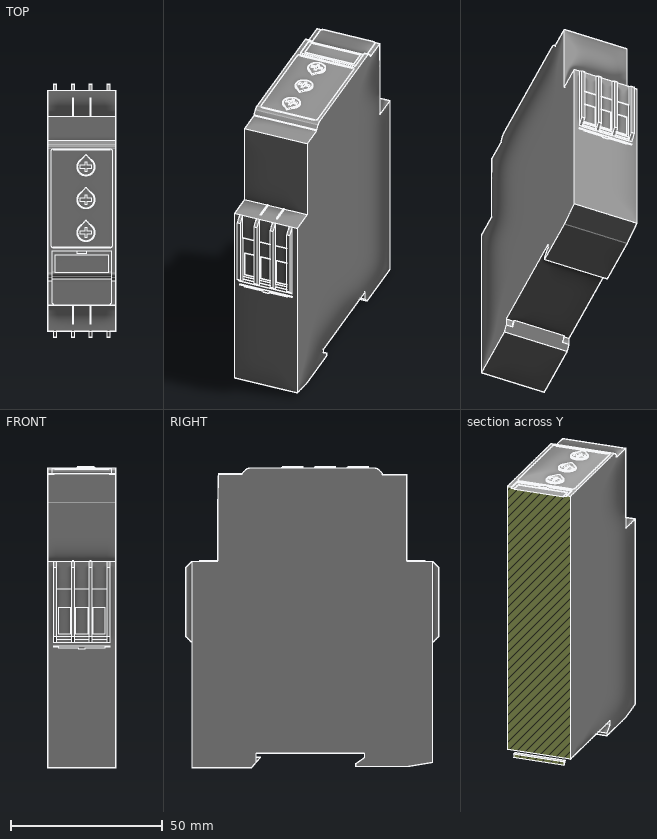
import cadquery as cq
import math

WIDTH = 22.5
DEPTH = 83.6
HEIGHT = 99.4
HALF_DEPTH = 39.8
UPPER_HALF_DEPTH = 31.2
SHOULDER_Z = 68.2
DECK_Z = 96.8

RAIL_Z = 4.8
FOOT_Z = 0.4
REAR_HOOK_DEPTH_Y = 17.2
REAR_HOOK_TIP_Y = 14.3
REAR_HOOK_TIP_Z = 1.4
REAR_HOOK_ROOT_Z = 3.4
FOOT_SLOPE_START_Y = 31.4
FOOT_CORNER_Z = 1.8
FRONT_FOOT_Y = -20.1
FRONT_WALL_Y = -18.5
TOOTH_TIP_Y = -17.0
TOOTH_TIP_Z = 3.6
TOOTH_WIDTH = 17.9
FRONT_WALL_Z = TOOTH_TIP_Z * (FRONT_WALL_Y - FRONT_FOOT_Y) / (TOOTH_TIP_Y - FRONT_FOOT_Y)

DRAFT_START_Z = 87.7
DRAFT_INSET = 0.2

KNOB_HEIGHT = 0.4
HUMP_TOP_Z = HEIGHT - KNOB_HEIGHT
HUMP_HALF_DEPTH = 23.2
HUMP_CHAMFER = 1.8
HUMP_EDGE_RADIUS = 2.0

PANEL_WIDTH = 20.3
PANEL_FRONT_Y = -12.2
PANEL_REAR_Y = 20.5
PANEL_CORNER_RADIUS = 0.9
PANEL_DEPTH = 0.15
PANEL_GROOVE_WIDTH = 0.35
PANEL_GROOVE_DEPTH = 0.3

KNOB_DIAMETER = 5.5
SKIRT_DIAMETER = 6.0
SKIRT_HEIGHT = 0.3
KNOB_X = 1.4
KNOB_MIDDLE_Y = 3.7
KNOB_PITCH = 10.8
POINTER_REACH = 4.1
CROSS_LENGTH_X = 3.8
CROSS_LENGTH_Y = 3.2
CROSS_ARM_X_HEIGHT = 1.1
CROSS_ARM_Y_WIDTH = 0.7
CROSS_DEPTH = 0.5

FLAP_WIDTH = 19.6
FLAP_REAR_Y = -13.2
FLAP_INSET = 0.35
FLAP_DECK_RISE = 0.3
FLAP_FRONT_CHAMFER = 0.6
WINDOW_WIDTH = 17.5
WINDOW_FRONT_Y = -20.4
WINDOW_REAR_Y = -14.6
WINDOW_DEPTH = 0.2
NOTCH_WIDTH = 3.3
NOTCH_LENGTH = 0.9

RIB_INNER_X = 2.9
RIB_OUTER_X = 8.8
RIB_WIDTH = 1.1
RIB_REACH = DEPTH / 2 - HALF_DEPTH
RIB_ROOT = 0.5
RIB_BOTTOM_Z = 41.4
SHELF_RIB_WIDTH = 0.4
SHELF_RIB_HEIGHT = 0.2
SHELF_RIB_LENGTH = 6.1
COVER_TOP_Z = 59.0
COVER_DEPTH = 0.2
LEDGE_TOP_Z = 43.4
LEDGE_MIDDLE_Z = 42.3
LEDGE_UPPER_DEPTH = 0.3
LEDGE_LOWER_DEPTH = 0.15
TERMINAL_WINDOW_WIDTH = 4.0
TERMINAL_WINDOW_X = 5.7
TERMINAL_WINDOW_TOP_Z = 53.0
TERMINAL_WINDOW_BOTTOM_Z = 44.2
TERMINAL_WINDOW_DEPTH = 0.2
LIP_TOP_Z = 40.2
LIP_BOTTOM_Z = 39.6
LIP_SEAM_Z = 39.9
LIP_NOTCH_Z = 39.2
LIP_DEPTH = 0.2
LIP_UPPER_WIDTH = 18.8
LIP_LOWER_WIDTH = 15.3
LIP_NOTCH_WIDTH = 2.1


def box(x_center, x_size, y_min, y_max, z_min, z_max):
    """Axis-aligned block, centred on x_center."""
    size = (x_size, y_max - y_min, z_max - z_min)
    block = cq.Workplane("XY").box(*size, centered=(True, False, False))
    return block.translate((x_center, y_min, z_min))


def side_profile(points, width):
    """Prism of a closed (Y, Z) outline, centred on X = 0."""
    return cq.Workplane("YZ").polyline(points).close().extrude(width / 2, both=True)


def make_housing():
    outline = [
        (-HALF_DEPTH, 0),
        (-HALF_DEPTH, SHOULDER_Z),
        (-UPPER_HALF_DEPTH, SHOULDER_Z),
        (-UPPER_HALF_DEPTH, DRAFT_START_Z),
        (-UPPER_HALF_DEPTH + DRAFT_INSET, DECK_Z),
        (UPPER_HALF_DEPTH, DECK_Z),
        (UPPER_HALF_DEPTH, SHOULDER_Z),
        (HALF_DEPTH, SHOULDER_Z),
        (HALF_DEPTH, FOOT_CORNER_Z),
        (FOOT_SLOPE_START_Y, FOOT_Z),
        (REAR_HOOK_TIP_Y, FOOT_Z),
        (REAR_HOOK_TIP_Y, REAR_HOOK_TIP_Z),
        (REAR_HOOK_DEPTH_Y, REAR_HOOK_ROOT_Z),
        (REAR_HOOK_DEPTH_Y, RAIL_Z),
        (FRONT_WALL_Y, RAIL_Z),
        (FRONT_WALL_Y, FRONT_WALL_Z),
        (FRONT_FOOT_Y, 0),
    ]
    return side_profile(outline, WIDTH)


def make_rail_tooth():
    """Front rail tooth, continuing the slope of the front foot."""
    outline = [
        (FRONT_FOOT_Y, 0),
        (TOOTH_TIP_Y, TOOTH_TIP_Z),
        (FRONT_FOOT_Y, TOOTH_TIP_Z),
    ]
    return side_profile(outline, TOOTH_WIDTH)


def make_hump(width, inset=0.0):
    """Raised bar with chamfered, rounded ends; inset shrinks it at the top and both ends."""
    half_depth = HUMP_HALF_DEPTH - inset
    top = HUMP_TOP_Z - inset
    flat = half_depth - HUMP_CHAMFER
    outline = [
        (-half_depth, DRAFT_START_Z),
        (-half_depth, top - HUMP_CHAMFER),
        (-flat, top),
        (flat, top),
        (half_depth, top - HUMP_CHAMFER),
        (half_depth, DRAFT_START_Z),
    ]
    return side_profile(outline, width).faces(">Z").edges("|X").fillet(HUMP_EDGE_RADIUS)


def cut_panel(body):
    """Recess the label panel and sink a narrow groove along its two short ends."""
    floor = HUMP_TOP_Z - PANEL_DEPTH
    panel = box(0, PANEL_WIDTH, PANEL_FRONT_Y, PANEL_REAR_Y, floor, HEIGHT)
    body = body.cut(panel.edges("|Z").fillet(PANEL_CORNER_RADIUS))
    groove_length = PANEL_WIDTH - 2 * PANEL_CORNER_RADIUS
    groove_floor = HUMP_TOP_Z - PANEL_GROOVE_DEPTH
    for y_min in (PANEL_FRONT_Y, PANEL_REAR_Y - PANEL_GROOVE_WIDTH):
        y_max = y_min + PANEL_GROOVE_WIDTH
        body = body.cut(box(0, groove_length, y_min, y_max, groove_floor, HEIGHT))
    return body


def make_knob():
    """Knob at the origin: low round skirt, head with a pointer toward +Y, cross slot."""
    height = KNOB_HEIGHT + PANEL_DEPTH
    radius = KNOB_DIAMETER / 2
    tangent_angle = math.asin(radius / POINTER_REACH)
    tangent_x = radius * math.cos(tangent_angle)
    tangent_y = radius * math.sin(tangent_angle)
    head = (
        cq.Workplane("XY")
        .moveTo(tangent_x, tangent_y)
        .lineTo(0, POINTER_REACH)
        .lineTo(-tangent_x, tangent_y)
        .threePointArc((0, -radius), (tangent_x, tangent_y))
        .close()
        .extrude(height)
    )
    skirt = cq.Workplane("XY").circle(SKIRT_DIAMETER / 2).extrude(SKIRT_HEIGHT)
    slot_plane = cq.Workplane("XY", origin=(0, 0, height - CROSS_DEPTH))
    arm_x = slot_plane.rect(CROSS_LENGTH_X, CROSS_ARM_X_HEIGHT).extrude(CROSS_DEPTH)
    arm_y = slot_plane.rect(CROSS_ARM_Y_WIDTH, CROSS_LENGTH_Y).extrude(CROSS_DEPTH)
    return skirt.union(head).cut(arm_x).cut(arm_y)


def add_knobs(body):
    knob = make_knob()
    for step in (-1, 0, 1):
        position = (KNOB_X, KNOB_MIDDLE_Y + step * KNOB_PITCH, HUMP_TOP_Z - PANEL_DEPTH)
        body = body.union(knob.translate(position))
    return body


def add_flap(body):
    """Sink the flap into the front of the hump and let it run out over the deck."""
    front_y = -UPPER_HALF_DEPTH + DRAFT_INSET
    flap_zone = box(0, FLAP_WIDTH, front_y, FLAP_REAR_Y, DECK_Z, HEIGHT)
    flap = make_hump(FLAP_WIDTH, FLAP_INSET).intersect(flap_zone)
    deck_plate = box(0, FLAP_WIDTH, front_y, FLAP_REAR_Y, DECK_Z, DECK_Z + FLAP_DECK_RISE)
    deck_plate = deck_plate.faces("<Y").edges("|Z").chamfer(FLAP_FRONT_CHAMFER)
    body = body.cut(flap_zone).union(flap).union(deck_plate)

    window_floor = HUMP_TOP_Z - FLAP_INSET - WINDOW_DEPTH
    window = box(0, WINDOW_WIDTH, WINDOW_FRONT_Y, WINDOW_REAR_Y, window_floor, HEIGHT)
    notch = box(0, NOTCH_WIDTH, FLAP_REAR_Y - NOTCH_LENGTH, FLAP_REAR_Y, window_floor, HEIGHT)
    return body.cut(window).cut(notch)


def make_rib(x_center):
    """Upright rib on the front face with 45 degree run-outs at both ends."""
    outline = [
        (-HALF_DEPTH + RIB_ROOT, RIB_BOTTOM_Z),
        (-HALF_DEPTH, RIB_BOTTOM_Z),
        (-HALF_DEPTH - RIB_REACH, RIB_BOTTOM_Z + RIB_REACH),
        (-HALF_DEPTH - RIB_REACH, SHOULDER_Z - RIB_REACH),
        (-HALF_DEPTH, SHOULDER_Z),
        (-HALF_DEPTH + RIB_ROOT, SHOULDER_Z),
    ]
    return side_profile(outline, RIB_WIDTH).translate((x_center, 0, 0))


def make_terminal_cuts():
    """Shallow covers, windows, stepped ledges and lip of the front terminal block."""
    face = -HALF_DEPTH
    cover_steps = [
        (COVER_DEPTH, LEDGE_TOP_Z, COVER_TOP_Z),
        (LEDGE_UPPER_DEPTH, LEDGE_MIDDLE_Z, LEDGE_TOP_Z),
        (LEDGE_LOWER_DEPTH, RIB_BOTTOM_Z, LEDGE_MIDDLE_Z),
    ]
    cuts = cq.Workplane("XY")
    for depth, z_min, z_max in cover_steps:
        cuts = cuts.union(box(0, 2 * RIB_OUTER_X, face, face + depth, z_min, z_max))
    window_floor = face + COVER_DEPTH + TERMINAL_WINDOW_DEPTH
    for x in (-TERMINAL_WINDOW_X, 0, TERMINAL_WINDOW_X):
        cuts = cuts.union(
            box(
                x, TERMINAL_WINDOW_WIDTH, face, window_floor,
                TERMINAL_WINDOW_BOTTOM_Z, TERMINAL_WINDOW_TOP_Z,
            )
        )
    lip_steps = [
        (LIP_UPPER_WIDTH, LIP_SEAM_Z, LIP_TOP_Z),
        (LIP_LOWER_WIDTH, LIP_BOTTOM_Z, LIP_SEAM_Z),
        (LIP_NOTCH_WIDTH, LIP_NOTCH_Z, LIP_BOTTOM_Z),
    ]
    for width, z_min, z_max in lip_steps:
        cuts = cuts.union(box(0, width, face, face + LIP_DEPTH, z_min, z_max))
    return cuts


def make_terminal_ribs():
    """Four upright ribs and the two thin ribs on the shelf above them."""
    ribs = cq.Workplane("XY")
    for x in (-RIB_OUTER_X, -RIB_INNER_X, RIB_INNER_X, RIB_OUTER_X):
        ribs = ribs.add(make_rib(x))
    shelf_rib_end_y = -UPPER_HALF_DEPTH - SHELF_RIB_LENGTH
    shelf_rib_top_z = SHOULDER_Z + SHELF_RIB_HEIGHT
    for x in (-RIB_INNER_X, RIB_INNER_X):
        ribs = ribs.add(
            box(x, SHELF_RIB_WIDTH, shelf_rib_end_y, -UPPER_HALF_DEPTH, SHOULDER_Z, shelf_rib_top_z)
        )
    return ribs.combine()


def add_terminals(body):
    """Both terminal blocks; the rear one mirrors the front one."""
    cuts = make_terminal_cuts()
    ribs = make_terminal_ribs()
    body = body.cut(cuts).cut(cuts.mirror("XZ"))
    return body.union(ribs).union(ribs.mirror("XZ"))


result = make_housing().union(make_rail_tooth()).union(make_hump(WIDTH))
result = cut_panel(result)
result = add_flap(result)
result = add_knobs(result)
result = add_terminals(result)